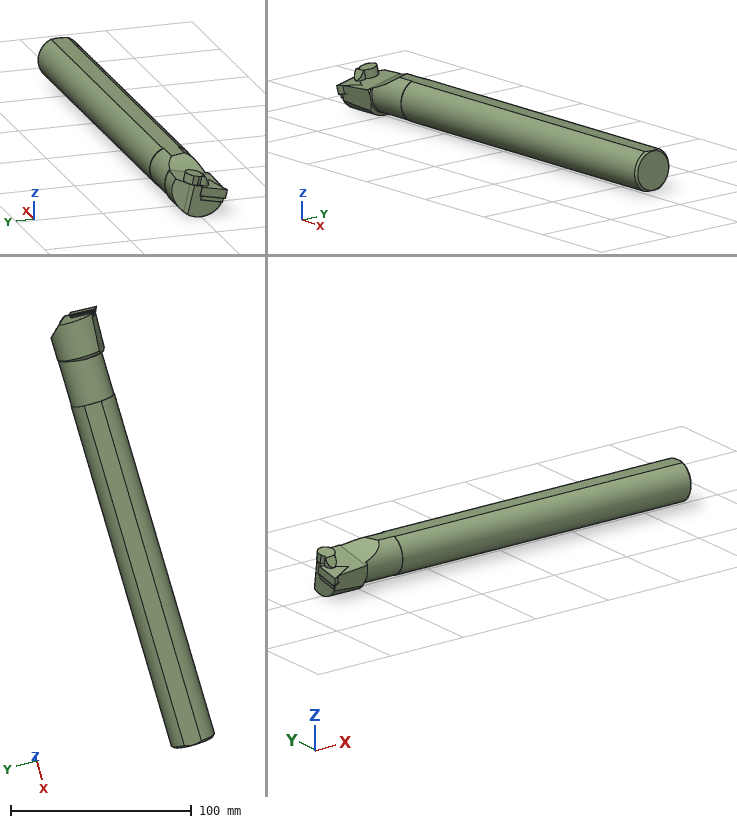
import cadquery as cq
import math

length = 250.0
shank_radius = 12.5
flat_height = 11.5
shank_start = 50.0
end_chamfer = 1.2

neck_radius = 12.2

head_radius = 14.0
head_offset = shank_radius - head_radius
head_length = 25.0
head_chamfer = 2.0

rake_height = 4.5
rake_pitch = math.radians(3.5)
rake_roll = math.radians(12)
rake_plane = cq.Plane(
    origin=(0, 0, rake_height),
    xDir=(1, 0, math.tan(rake_pitch)),
    normal=(-math.tan(rake_pitch), -math.tan(rake_roll), 1),
)
clearance = 37.5

head_front = 1.2
head_side_front = -15.5
head_side_rear = -14.5
facet_start = (1.5, 2.2)
facet_end = (3.2, 4.2)
bevel_end = (13.7, 15.2)

chip_flat_end = 23.2
chip_arc_radius = 52.0
chip_start_angle = math.radians(9)
chip_end_angle = math.radians(45)

insert_tip = (0, -17.0)
insert_apex = (14.0, -10.5)
insert_heel = (0, -1.7)
insert_thickness = 5.2
seat_thickness = 2.5
seat_inset = 0.62

clamp_center = (7.2, 1.7)
clamp_radius = 5.0
clamp_height = 5.2
clamp_front = 2.5
nose_center = (6.0, -4.2)
nose_radius = 3.2
nose_slope_start = -3.5
nose_slope_end = -7.7


def disc_along_x(radius, start, end, center_y=0.0):
    return cq.Workplane("YZ", origin=(start, center_y, 0)).circle(radius).extrude(end - start)


def above(height):
    """Block covering the whole bar from the given height upward."""
    return cq.Workplane("XY", origin=(0, 0, height)).rect(2 * length, 2 * clearance).extrude(clearance)


def make_shank():
    shank = disc_along_x(shank_radius, shank_start, length).faces(">X").chamfer(end_chamfer)
    return shank.intersect(above(-flat_height))


def head_outline():
    """Prism square to the rake plane that bounds the front and sides of the bar."""
    return (
        cq.Workplane(rake_plane)
        .moveTo(head_front, head_side_front)
        .lineTo(*facet_start)
        .lineTo(*facet_end)
        .lineTo(*bevel_end)
        .lineTo(length, clearance)
        .lineTo(length, head_side_rear)
        .lineTo(head_length, head_side_rear)
        .close()
        .extrude(clearance, both=True)
    )


def make_head():
    head = disc_along_x(head_radius, 0, head_length, head_offset).faces(">X").chamfer(head_chamfer)
    neck = disc_along_x(neck_radius, head_length / 2, shank_start)
    return head.union(neck).intersect(head_outline())


def chip_clearance():
    """Space above the rake plane, swept straight across the bar."""
    def arc_point(angle):
        x = chip_flat_end + chip_arc_radius * (math.sin(angle) - math.sin(chip_start_angle))
        return x, chip_arc_radius * (math.cos(chip_start_angle) - math.cos(angle))

    arc_end = arc_point(chip_end_angle)
    side_plane = cq.Plane(rake_plane.origin, rake_plane.xDir, -rake_plane.yDir)
    return (
        cq.Workplane(side_plane)
        .moveTo(-clearance, 0)
        .lineTo(chip_flat_end, 0)
        .threePointArc(arc_point((chip_start_angle + chip_end_angle) / 2), arc_end)
        .lineTo(arc_end[0], clearance)
        .lineTo(-clearance, clearance)
        .close()
        .extrude(clearance, both=True)
    )


def triangle_plate(inset, top, thickness):
    """Triangular plate with one edge facing -X; inset moves every edge inward."""
    outline = (
        cq.Workplane(rake_plane)
        .workplane(offset=top)
        .polyline([insert_tip, insert_apex, insert_heel])
        .close()
    )
    if inset:
        outline = outline.offset2D(-inset)
    return outline.extrude(-thickness)


def make_clamp():
    post = cq.Workplane(rake_plane).center(*clamp_center).circle(clamp_radius).extrude(clamp_height)
    nose = cq.Workplane(rake_plane).center(*nose_center).circle(nose_radius).extrude(clamp_height)
    front_plane = cq.Plane(rake_plane.origin, rake_plane.yDir, rake_plane.xDir)
    profile = (
        cq.Workplane(front_plane)
        .workplane(offset=clamp_front)
        .polyline([
            (nose_slope_end, 0),
            (nose_slope_start, clamp_height),
            (clearance, clamp_height),
            (clearance, 0),
        ])
        .close()
        .extrude(clearance)
    )
    return post.union(nose).intersect(profile)


def make_holder(insert):
    seat = triangle_plate(seat_inset, -insert_thickness, seat_thickness)
    bar = make_head().cut(chip_clearance()).union(make_shank()).cut(above(flat_height))
    return bar.union(seat).union(make_clamp()).cut(insert)


insert = triangle_plate(0, 0, insert_thickness)
holder = make_holder(insert)

result = cq.Compound.makeCompound([holder.val(), insert.val()])